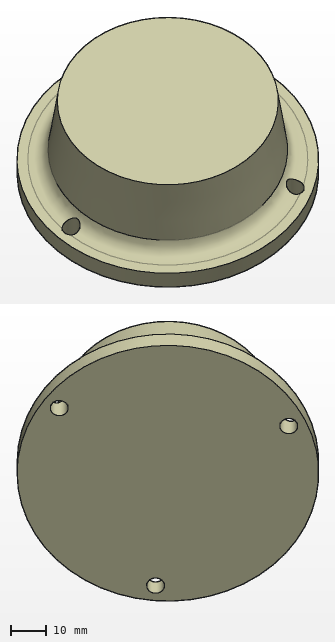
import cadquery as cq

flange_radius = 42.5
flange_height = 6.0
total_height = 31.0
top_radius = 31.1
wall_foot_radius = 33.75
wall_foot_height = 10.1
flare_radius = 39.4
flare_arc_radius = 6.0
hole_diameter = 5.0
hole_circle_radius = 37.5
hole_count = 3


def make_body():
    """Flange, concave flare and tapered hub revolved about Z."""
    profile = (
        cq.Workplane("XZ")
        .lineTo(flange_radius, 0)
        .lineTo(flange_radius, flange_height)
        .lineTo(flare_radius, flange_height)
        .radiusArc((wall_foot_radius, wall_foot_height), flare_arc_radius)
        .lineTo(top_radius, total_height)
        .lineTo(0, total_height)
        .close()
    )
    return profile.revolve(360, (0, 0, 0), (0, 1, 0))


def make_holes():
    """Vertical through holes, the first one on the +X axis."""
    return (
        cq.Workplane("XY")
        .polarArray(hole_circle_radius, 0, 360, hole_count)
        .circle(hole_diameter / 2)
        .extrude(total_height)
    )


result = make_body().cut(make_holes())